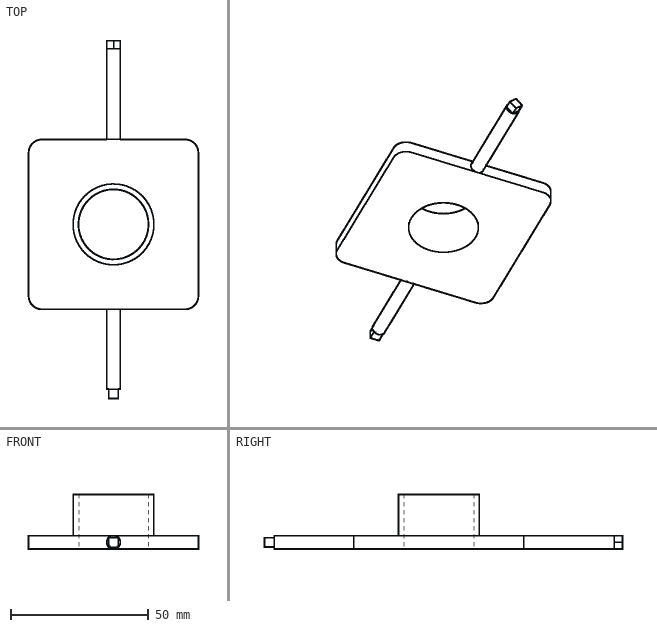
import cadquery as cq
import math

plate_side = 62.0
plate_thickness = 5.0
corner_radius = 5.0
total_height = 20.0
collar_diameter = 29.5
bore_diameter = 25.5

arm_diameter = plate_thickness
arm_axis_height = plate_thickness / 2
front_arm_reach = 60.0
front_tip_length = 3.5
back_arm_reach = 64.0
back_tip_length = 3.0
tip_side = arm_diameter / math.sqrt(2)
front_tip_angle = 0
back_tip_angle = 45


def make_plate():
    plate = cq.Workplane("XY").rect(plate_side, plate_side).extrude(plate_thickness)
    return plate.edges("|Z").fillet(corner_radius)


def make_arm(direction, arm_reach, tip_length, tip_angle):
    """Arm from the Z axis towards +Y (direction 1) or -Y (direction -1)."""
    normal = (0, direction, 0)
    root = cq.Plane(origin=(0, 0, arm_axis_height), xDir=(1, 0, 0), normal=normal)
    arm = cq.Workplane(root).circle(arm_diameter / 2).extrude(arm_reach)
    tip = (
        cq.Workplane(root)
        .workplane(offset=arm_reach)
        .transformed(rotate=(0, 0, tip_angle))
        .rect(tip_side, tip_side)
        .extrude(tip_length)
    )
    return arm.union(tip)


collar = cq.Workplane("XY").circle(collar_diameter / 2).extrude(total_height)
bore = cq.Workplane("XY").circle(bore_diameter / 2).extrude(total_height)
front_arm = make_arm(-1, front_arm_reach, front_tip_length, front_tip_angle)
back_arm = make_arm(1, back_arm_reach, back_tip_length, back_tip_angle)

result = make_plate().union(collar).union(front_arm).union(back_arm).cut(bore)